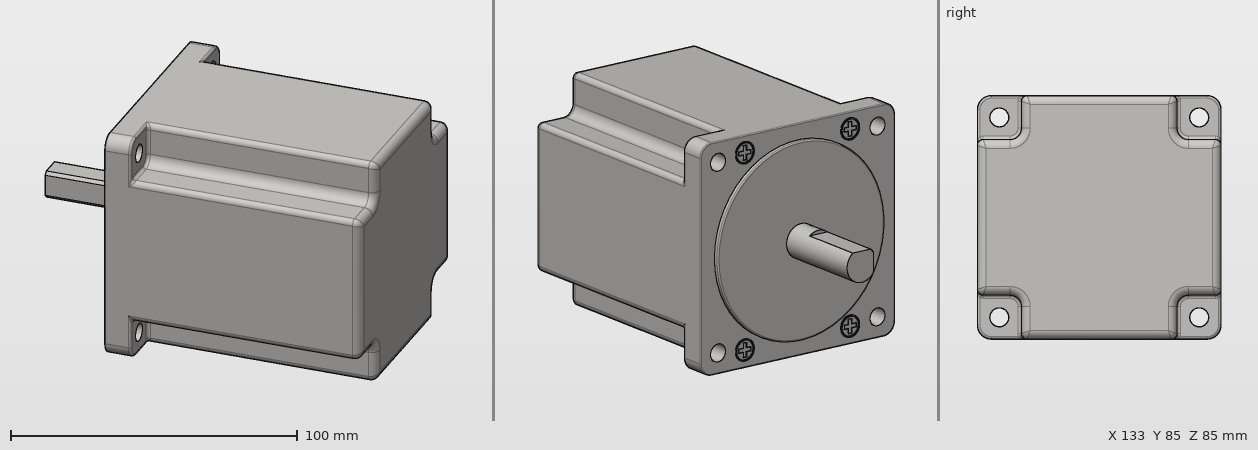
import cadquery as cq

total_length = 133.0
square_side = 85.0
half_side = square_side / 2
flange_front = 37.0
flange_thickness = 10.0
flange_back = flange_front + flange_thickness

recess_wall = 27.1
recess_corner_radius = 4.0
recess_root_radius = 1.2

flange_corner_radius = 4.9
flange_back_radius = 0.9
flange_front_radius = 0.4
rear_edge_radius = 3.0
body_edge_radius = 2.0

pilot_diameter = 72.9
pilot_height = 2.0
pilot_edge_radius = 0.5
pilot_front = flange_front - pilot_height
shaft_radius = 6.4
flat_length = 25.0
flat_offset = 5.0

hole_diameter = 6.5
hole_offset = 34.8
screw_offset_y = 23.0
screw_offset_z = 36.0
screw_seat_diameter = 8.1
screw_head_diameter = 7.2
screw_slot_length = 5.3
screw_slot_width = 1.5
screw_depth = 0.4

TOLERANCE = 0.01

CORNERS = [(y, z) for y in (-1, 1) for z in (-1, 1)]


def plane_at(x):
    """Plane across the motor axis: local x is Y, local y is Z, extruding towards +X."""
    return cq.Workplane("YZ", origin=(x, 0, 0))


def corner_recess(side_y, side_z):
    """Solid to remove from one long corner of the body, with its inner edge rounded."""
    center = recess_wall + half_side
    block = (
        plane_at(flange_back)
        .center(side_y * center, side_z * center)
        .rect(square_side, square_side)
        .extrude(total_length)
    )
    inner_edge_point = (flange_back + total_length / 2, side_y * recess_wall, side_z * recess_wall)
    return block.edges(cq.selectors.NearestToPointSelector(inner_edge_point)).fillet(recess_corner_radius)


def long_edges(solid, offset):
    """Edges along X that lie on an outer side, at the given distance from its centre line."""

    def matches(edge):
        inner, outer = sorted((abs(edge.Center().y), abs(edge.Center().z)))
        return abs(outer - half_side) < TOLERANCE and abs(inner - offset) < TOLERANCE

    return solid.newObject([edge for edge in solid.edges("|X").vals() if matches(edge)])


def flange_back_edges(solid):
    """Outer rounded corners of the flange where they meet its back face."""

    def matches(edge):
        center = edge.Center()
        return abs(center.x - flange_back) < TOLERANCE and min(abs(center.y), abs(center.z)) > hole_offset

    return solid.newObject([edge for edge in solid.edges("%CIRCLE").vals() if matches(edge)])


def recess_root_edges(solid):
    """Edges where the recess walls and their rounded corner meet the back of the flange."""

    def matches(edge):
        center = edge.Center()
        inner, outer = sorted((abs(center.y), abs(center.z)))
        on_flange_back = edge.BoundingBox().xlen < TOLERANCE and abs(center.x - flange_back) < TOLERANCE
        return on_flange_back and inner < recess_wall + recess_corner_radius and outer < half_side - TOLERANCE

    return solid.newObject([edge for edge in solid.edges().vals() if matches(edge)])


def make_body():
    body = plane_at(flange_front).rect(square_side, square_side).extrude(total_length - flange_front)
    for side_y, side_z in CORNERS:
        body = body.cut(corner_recess(side_y, side_z))
    body = long_edges(body, half_side).fillet(flange_corner_radius)
    body = body.faces(">X").edges().fillet(rear_edge_radius)
    body = long_edges(body, recess_wall).fillet(body_edge_radius)
    body = flange_back_edges(body).fillet(flange_back_radius)
    body = recess_root_edges(body).fillet(recess_root_radius)
    return body.faces("<X").edges().fillet(flange_front_radius)


def make_pilot():
    pilot = plane_at(pilot_front).circle(pilot_diameter / 2).extrude(pilot_height)
    return pilot.faces("<X").edges().fillet(pilot_edge_radius)


def make_shaft():
    """Round shaft with two flats at its tip, facing -Y and +Z."""
    shaft = plane_at(0).circle(shaft_radius).extrude(pilot_front)
    tip_envelope = (
        plane_at(0)
        .center(shaft_radius - flat_offset, flat_offset - shaft_radius)
        .rect(2 * shaft_radius, 2 * shaft_radius)
        .extrude(flat_length)
    )
    tip_stock = plane_at(0).circle(shaft_radius).extrude(flat_length)
    return shaft.cut(tip_stock.cut(tip_envelope))


def make_mounting_holes():
    points = [(y * hole_offset, z * hole_offset) for y, z in CORNERS]
    return plane_at(flange_front).pushPoints(points).circle(hole_diameter / 2).extrude(flange_thickness)


def make_screw_cuts():
    """Narrow gap around each flush screw head, and the cross slot in the head."""
    points = [(y * screw_offset_y, z * screw_offset_z) for y, z in CORNERS]
    heads = plane_at(flange_front).pushPoints(points)
    gaps = heads.circle(screw_seat_diameter / 2).circle(screw_head_diameter / 2).extrude(screw_depth)
    slots_y = heads.rect(screw_slot_length, screw_slot_width).extrude(screw_depth)
    slots_z = heads.rect(screw_slot_width, screw_slot_length).extrude(screw_depth)
    return gaps.union(slots_y).union(slots_z)


result = (
    make_body()
    .union(make_pilot())
    .union(make_shaft())
    .cut(make_mounting_holes())
    .cut(make_screw_cuts())
)